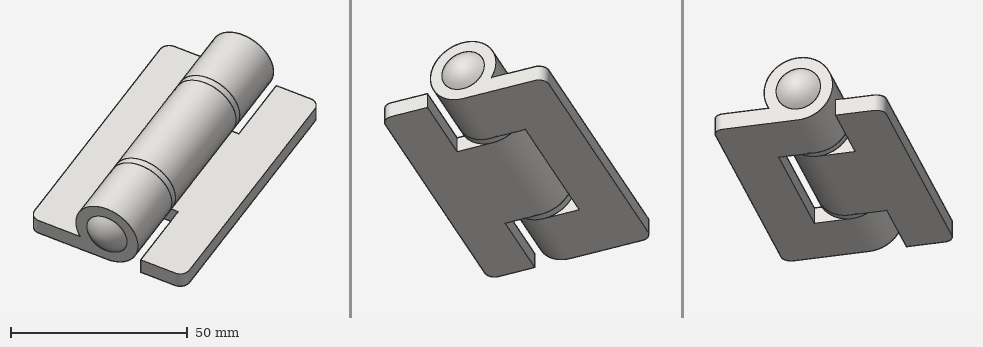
import cadquery as cq

total_length = 86.0
leaf_length = 80.0
hinge_width = 50.0
knuckle_diameter = 20.0
leaf_thickness = 5.0
corner_radius = 3.0
pin_diameter = 13.0
side_clearance = 0.9
middle_knuckle_length = 35.8
washer_thickness = 2.15

knuckle_radius = knuckle_diameter / 2
pin_radius = pin_diameter / 2
half_leaf = leaf_length / 2
half_middle = middle_knuckle_length / 2
outer_knuckle_start = half_middle + washer_thickness
notch_reach = knuckle_radius + side_clearance


def cylinder(radius, y_start, length):
    """Cylinder on the hinge axis, running toward +Y from y_start."""
    return (
        cq.Workplane("XZ", origin=(0, y_start, 0))
        .circle(radius)
        .extrude(-length)
    )


def notch(side, y_start, y_end):
    """Clearance block cut from one leaf around an opposing knuckle."""
    return cq.Workplane("XY").box(
        notch_reach, y_end - y_start, knuckle_diameter, centered=(True, False, True)
    ).translate((side * notch_reach / 2, y_start, 0))


def make_leaf(side, knuckle_spans, notch_spans):
    """Leaf on the side -1 (-X) or +1 (+X) with its knuckles, notches and pin bore."""
    plate_width = hinge_width / 2
    leaf = (
        cq.Workplane("XY")
        .box(plate_width, leaf_length, leaf_thickness, centered=(True, True, False))
        .translate((side * plate_width / 2, 0, -knuckle_radius))
    )
    outer_corners = "|Z and >X" if side > 0 else "|Z and <X"
    leaf = leaf.edges(outer_corners).fillet(corner_radius)
    for y_start, y_end in notch_spans:
        leaf = leaf.cut(notch(side, y_start, y_end))
    for y_start, y_end in knuckle_spans:
        leaf = leaf.union(cylinder(knuckle_radius, y_start, y_end - y_start))
    return leaf.cut(cylinder(pin_radius, -half_leaf, leaf_length))


def make_washer(y_start):
    """Ring filling the space between two neighbouring knuckles."""
    ring = cylinder(knuckle_radius, y_start, washer_thickness)
    return ring.cut(cylinder(pin_radius, y_start, washer_thickness))


def make_pin():
    """Pin with a spherical cap beyond each end of the knuckles."""
    half_total = total_length / 2
    dome_height = half_total - half_leaf
    dome_radius = (pin_radius**2 + dome_height**2) / (2 * dome_height)
    dome_center = half_total - dome_radius
    arc_x = pin_radius / 2
    arc_y = dome_center + (dome_radius**2 - arc_x**2) ** 0.5
    return (
        cq.Workplane("XY")
        .moveTo(0, -half_total)
        .threePointArc((arc_x, -arc_y), (pin_radius, -half_leaf))
        .lineTo(pin_radius, half_leaf)
        .threePointArc((arc_x, arc_y), (0, half_total))
        .close()
        .revolve(360, (0, 0, 0), (0, 1, 0))
    )


left_leaf = make_leaf(
    -1,
    knuckle_spans=[
        (-half_leaf, -outer_knuckle_start),
        (outer_knuckle_start, half_leaf),
    ],
    notch_spans=[(-outer_knuckle_start, outer_knuckle_start)],
)
right_leaf = make_leaf(
    1,
    knuckle_spans=[(-half_middle, half_middle)],
    notch_spans=[(-half_leaf, -half_middle), (half_middle, half_leaf)],
)
washers = [make_washer(y_start) for y_start in (-outer_knuckle_start, half_middle)]
pin = make_pin()

result = cq.Compound.makeCompound(
    [left_leaf.val(), right_leaf.val(), pin.val(), *[washer.val() for washer in washers]]
)